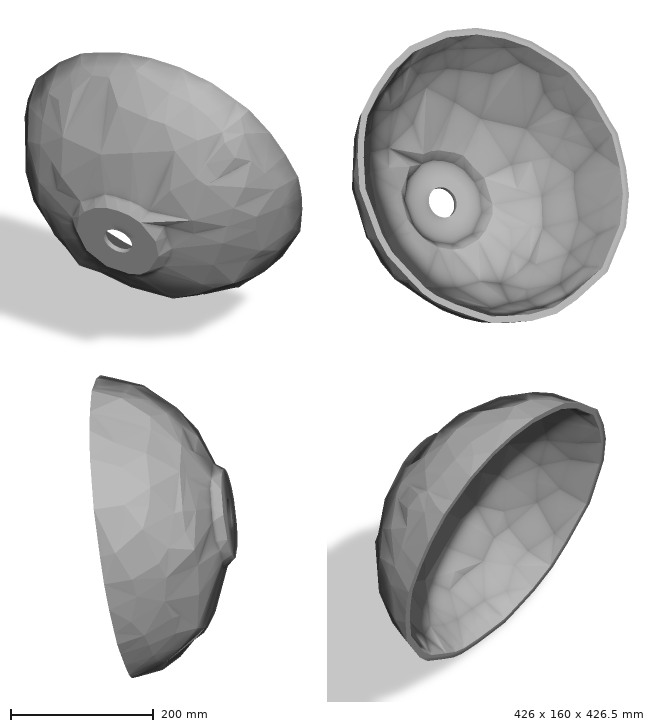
import cadquery as cq
import math

HEIGHT = 160.0
FLOOR_THICKNESS = 7.2
DRAIN_DIAMETER = 43.5

RIM = [
    (-215.0, 0), (-210.0, -47), (-181.0, -116.5), (-133.0, -163.3), (-101.5, -187.5), (-63.0, -203.0),
    (-21.5, -211.0), (0, -214.5), (25.5, -210.0), (59.5, -203.8), (91.0, -195.0), (108.5, -185.5),
    (129.0, -168.5), (164.0, -137.5), (180.5, -113.0), (208.0, -47), (211.0, 0), (210.0, 25.5),
    (208.0, 44.8), (204.5, 65.2), (193.0, 88.0), (185.5, 103.0), (162, 138.0), (129.0, 172.0),
    (110.0, 182.0), (89.0, 193.0), (73.5, 201.2), (24.7, 212.0), (-20.0, 211.5), (-62.2, 203.5),
    (-100.5, 186.7), (-128, 172.2), (-162, 138.0), (-185.5, 103.0), (-197.0, 87.5), (-210.0, 38.5),
]
FOOT = [
    (0, 63.0), (17, 61.5), (34, 53.7), (57.5, 25.5), (62.2, -4.3), (47, -41.5), (34, -54.5), (17, -61.0),
    (-17, -61.0), (-48.0, -41.5), (-63.5, -7.5), (-60.0, 22.5), (-52.0, 37.0), (-35.5, 53.5), (-17, 61.5),
]

NECK = [
    (0, 15.0, 73.5), (13, 15.0, 73.7), (26.5, 15.5, 70.8), (40.0, 16.0, 64), (63.0, 18.0, 41.8),
    (68, 16.0, 23.5), (76.0, 15.0, 3.5), (73.5, 15.0, -13.5), (65.0, 14.0, -37.5), (51, 15.0, -54.0),
    (40.0, 16.0, -64), (27.0, 15.5, -70.5), (13, 12.0, -73.5), (-10.2, 12.0, -73.7), (-26.5, 15.0, -70.5),
    (-51, 15.0, -53.7), (-64, 14.0, -37.5), (-74.5, 14.0, -13), (-76.0, 12.0, 3.0), (-62.5, 11.5, 42.0),
    (-41.0, 13, 59.0), (-27.0, 14.5, 70.8), (-11.5, 15.0, 73.5),
]
LOWER_BOWL = [
    (-43.5, 37.0, 123.5), (2.0, 44.0, 140.5), (59.0, 63.0, 151.5), (97.0, 53.5, 120.2), (110.0, 55.5, 111),
    (65.2, 32.5, 102.5), (102.5, 26.5, 62.5), (103.0, 30, 32.0), (141.5, 42.5, 16.0), (145, 51, 44.5), (149, 63.0, 72.5),
    (129.0, 38.5, -30), (-140.5, 42.5, 16.5), (-99.0, 26.5, 62.5), (-109.0, 54.5, 112.0), (-122.8, 44.8, 67.5),
    (-147.0, 62.2, 71.5), (-106.5, 30, 27.0), (-127.0, 38.5, -30), (-141.5, 44.8, -32.0), (-118.5, 44.8, -85.3),
    (-124.5, 55.5, -93.0), (-98, 44.8, -107.5), (-98, 30, -70.5), (-98, 25.5, -34), (-76.0, 36.2, -122.5),
    (-42.5, 37.0, -123.5), (0, 43.5, -140.5), (59.0, 56.5, -151.5), (97.0, 53.5, -120.2), (111, 40.5, -81),
    (122.8, 53.5, -96.8), (102.5, 68, -134.3),
]
MIDDLE_BOWL = [
    (-38.5, 86.0, 178.0), (10.5, 79.7, 180.0), (35.0, 82.0, 178.0), (84.0, 85.3, 162), (102.5, 72.5, 134.3),
    (120.5, 69.0, 114.5), (156.0, 85.0, 97.0), (175.5, 82.0, 47.7), (175.5, 79.0, 23.5), (182.0, 85.3, -24.0),
    (166.3, 74.5, -41.5), (148.5, 64, -85.3), (144.0, 79.0, -102.5), (142.0, 96.0, -128.7), (84.0, 85.3, -162),
    (35.0, 83.0, -177.0), (10.5, 72.5, -166.0), (0, 81, -177.5), (-38.0, 85.3, -177.8), (-71.0, 76.7, -163.3),
    (-96.0, 83.0, -157.0), (-102.5, 68, -136.5), (-143.0, 97.0, -130.0), (-153.5, 86.5, -100.0), (-166.3, 82.3, -76.0),
    (-180.0, 85.3, -24.7), (-174.8, 79.7, 22.5), (-174.8, 81, 47), (-153.5, 84.5, 95.0), (-134.5, 97.0, 135.5),
    (-115, 101.5, 155.5),
]
UPPER_BOWL = [
    (-157.0, 112.0, 123.5), (-172.0, 116.5, 99.0), (-190.0, 119.5, 73.5), (-198.5, 125.8, -15.0),
    (-192.5, 119.5, -54.5), (-170.5, 118.0, -105.7), (-134.3, 138.0, -161.0), (-95.5, 121.5, -180.0),
    (-67.5, 119.5, -188.5), (-33.3, 134.3, -203.8), (0, 121.5, -203.5), (25.0, 119.5, -200.5), (57.5, 119.5, -193.0),
    (85.3, 117.2, -180.5), (109.0, 111, -164.0), (132, 119.5, -157.7), (172.0, 118.0, -105.7), (193.0, 119.5, -53.5),
    (205.5, 136.5, -20.0), (196, 119.5, 38.5), (187.5, 119.5, 71.5), (172.2, 118.5, 99.5), (154.5, 112.5, 123.5),
    (135.5, 129.0, 155.5), (135.5, 98, 136.5), (117.5, 102.5, 155.0), (110.0, 112.0, 164.5), (125.0, 141.5, 170.5),
    (85.3, 117.2, 181.0), (59.3, 119.5, 193.5), (25.0, 119.5, 200.0), (42.5, 140.0, 204.5), (-33.0, 134.0, 205.5),
    (-67.5, 119.5, 191.0), (-96.0, 122.8, 178.5), (-120.5, 142.0, 170.0), (-131.5, 130.0, 156.5),
]

LONG_EDGES = [
    ((-43.5, 123.5), (-62.5, 42.0)),
    ((141.5, 16.0), (76.0, 3.5)),
    ((13, -73.5), (59.0, -151.5)),
    ((120.5, 114.5), (154.5, 123.5)),
    ((182.0, -24.0), (129.0, -30)),
    ((135.5, 155.5), (172.2, 99.5)),
    ((-42.5, -123.5), (-51, -53.7)),
    ((-141.5, -32.0), (-174.8, 22.5)),
    ((172.0, -105.7), (122.8, -96.8)),
    ((40.0, -64), (59.0, -151.5)),
    ((97.0, 120.2), (102.5, 62.5)),
    ((156.0, 97.0), (110.0, 111)),
    ((110.0, 111), (154.5, 123.5)),
    ((40.0, 64), (102.5, 62.5)),
    ((-109.0, 112.0), (-157.0, 123.5)),
    ((-96.0, 178.5), (-109.0, 112.0)),
    ((187.5, 71.5), (149, 72.5)),
    ((-38.0, -177.8), (10.5, -166.0)),
    ((59.0, -151.5), (-38.0, -177.8)),
    ((-109.0, 112.0), (-67.5, 191.0)),
    ((-67.5, 191.0), (-43.5, 123.5)),
    ((102.5, 134.3), (110.0, 164.5)),
    ((84.0, -162), (97.0, -120.2)),
    ((97.0, -120.2), (109.0, -164.0)),
    ((-127.0, -30), (-76.0, 3.0)),
    ((-140.5, 16.5), (-76.0, 3.0)),
    ((-62.5, 42.0), (-140.5, 16.5)),
    ((-74.5, -13), (-127.0, -30)),
    ((97.0, 120.2), (84.0, 162)),
    ((110.0, 164.5), (97.0, 120.2)),
    ((-134.3, -161.0), (-170.5, -105.7)),
    ((-143.0, -130.0), (-95.5, -180.0)),
    ((24.7, 212.0), (-33.0, 205.5)),
    ((59.0, 151.5), (26.5, 70.8)),
    ((59.0, 151.5), (40.0, 64)),
    ((-76.0, -122.5), (-64, -37.5)),
    ((34, 53.7), (102.5, 62.5)),
]


def unrolled(corner):
    """Flatten a corner: keep its direction, and add its height to its radius."""
    x, y, z = corner
    stretch = 1 + y / math.hypot(x, z)
    return x * stretch, z * stretch


def circumcircle(a, b, c):
    """Centre and squared radius of the circle through three flat points."""
    bx, by = b[0] - a[0], b[1] - a[1]
    cx, cy = c[0] - a[0], c[1] - a[1]
    twice_area = 2 * (bx * cy - by * cx)
    ux = (cy * (bx * bx + by * by) - by * (cx * cx + cy * cy)) / twice_area
    uy = (bx * (cx * cx + cy * cy) - cx * (bx * bx + by * by)) / twice_area
    return a[0] + ux, a[1] + uy, ux * ux + uy * uy


def triangulate(points):
    """Delaunay triangles of flat points, as triples of indices."""
    far = 1000 * HEIGHT
    count = len(points)
    points = points + [(-far, -far), (far, -far), (0, far)]
    first = (count, count + 1, count + 2)
    circles = {first: circumcircle(*[points[i] for i in first])}
    for new in range(count):
        px, py = points[new]
        hit = [t for t, (x, y, r2) in circles.items() if (px - x) ** 2 + (py - y) ** 2 < r2]
        edges = [edge for a, b, c in hit for edge in ((a, b), (b, c), (c, a))]
        for triangle in hit:
            del circles[triangle]
        for a, b in edges:
            if (b, a) not in edges:
                circles[(a, b, new)] = circumcircle(points[a], points[b], points[new])
    return [t for t in circles if max(t) < count]


def turn(a, b, c):
    """Twice the signed area of a flat triangle, positive when it runs counterclockwise."""
    return (b[0] - a[0]) * (c[1] - a[1]) - (b[1] - a[1]) * (c[0] - a[0])


def crosses(a, b, c, d):
    """Whether the flat segment from a to b crosses the one from c to d."""
    return turn(a, b, c) * turn(a, b, d) < 0 and turn(c, d, a) * turn(c, d, b) < 0


def force_edge(triangles, points, start, end):
    """Turn the diagonals that cross the line from start to end until that line is an edge."""
    blocked = True
    while blocked:
        blocked = False
        opposite = {}
        for a, b, c in triangles:
            opposite.update({(a, b): c, (b, c): a, (c, a): b})
        for (a, b), c in opposite.items():
            d = opposite.get((b, a))
            if d is None or not crosses(points[start], points[end], points[a], points[b]):
                continue
            if crosses(points[a], points[b], points[c], points[d]):
                blocked = True
                triangles = [t for t in triangles if set(t) not in ({a, b, c}, {a, b, d})]
                triangles += [(c, a, d), (d, b, c)]
                break
    return triangles


def facet_triangles(corners):
    """Triangles that join the corners into one sheet, with the long edges in place."""
    points = [unrolled(corner) for corner in corners]
    index = {(x, z): i for i, (x, y, z) in enumerate(corners)}
    triangles = triangulate(points)
    for start, end in LONG_EDGES:
        triangles = force_edge(triangles, points, index[start], index[end])
    return triangles


def flat_face(outline):
    """Flat face inside a closed outline."""
    return cq.Face.makeFromWires(cq.Wire.makePolygon(outline, close=True))


def bowl_solid(scale):
    """Solid faceted bowl, scaled about the centre of the rim."""
    foot = [(x, 0, z) for x, z in FOOT]
    rim = [(x, HEIGHT, z) for x, z in RIM]
    corners = foot + NECK + LOWER_BOWL + MIDDLE_BOWL + UPPER_BOWL + rim
    placed = [cq.Vector(x * scale, HEIGHT - (HEIGHT - y) * scale, z * scale) for x, y, z in corners]

    faces = []
    rim_start = len(corners) - len(rim)
    for triangle in facet_triangles(corners):
        in_foot = max(triangle) < len(foot)
        in_rim = min(triangle) >= rim_start
        if not in_foot and not in_rim:
            faces.append(flat_face([placed[i] for i in triangle]))
    for outline in (placed[:len(foot)], placed[rim_start:]):
        faces.append(flat_face(outline))
    return cq.Workplane(cq.Solid.makeSolid(cq.Shell.makeShell(faces)))


drain = cq.Workplane("XZ").circle(DRAIN_DIAMETER / 2).extrude(-HEIGHT)
result = bowl_solid(1).cut(bowl_solid(1 - FLOOR_THICKNESS / HEIGHT)).cut(drain)